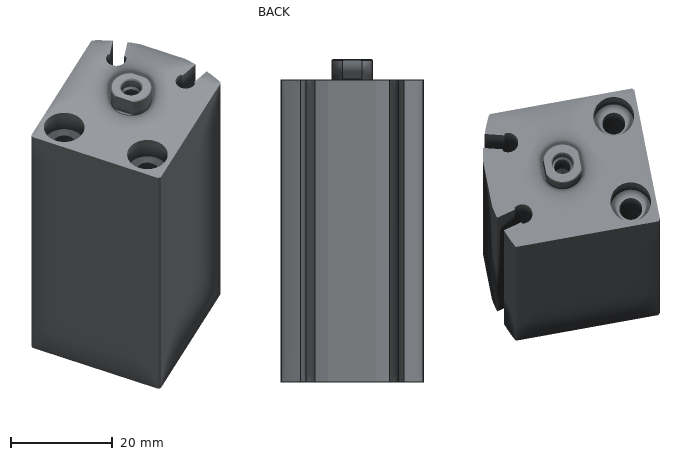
import cadquery as cq
import math


width = 28.0
height = 59.5
front_y = -17.0
back_y = 15.0
shoulder_y = 12.0
crown_flat_width = 9.5
crown_radius = 31.0
front_edge_chamfer = 0.4
shoulder_round = 0.5

slot_angle = 15.0
slot_center_x = 7.52
slot_center_y = 9.45
slot_bulb_diameter = 4.0
slot_neck_width = 2.9
slot_lip_height = 0.85
slot_reach = 8.0

mount_x = 9.0
mount_y = -12.0
mount_diameter = 4.5
counterbore_diameter = 8.0
counterbore_depth = 4.6

rod_diameter = 8.0
rod_protrusion = 4.0
rod_insertion = 10.0
rod_tip_chamfer = 0.2
flat_distance = 7.0
flat_start = 0.2
rod_top = height + rod_protrusion
rod_bottom = height - rod_insertion

mouth_diameter = 4.6
bore_diameter = 4.13
bore_depth = 2.0
core_diameter = 3.24
core_depth = 8.0
drill_point_angle = 118.0


def crown_arc_middle(start, end, radius):
    """Midpoint of the outward-bulging arc of the given radius from start to end."""
    dx = end[0] - start[0]
    dy = end[1] - start[1]
    chord = math.hypot(dx, dy)
    sagitta = radius - math.sqrt(radius**2 - (chord / 2) ** 2)
    middle_x = (start[0] + end[0]) / 2 - dy / chord * sagitta
    middle_y = (start[1] + end[1]) / 2 + dx / chord * sagitta
    return (middle_x, middle_y)


def make_block():
    side = width / 2
    crown_start = (crown_flat_width / 2, back_y)
    crown_end = (side, shoulder_y)
    arc_x, arc_y = crown_arc_middle(crown_start, crown_end, crown_radius)
    block = (
        cq.Workplane("XY")
        .moveTo(-side, front_y)
        .lineTo(side, front_y)
        .lineTo(*crown_end)
        .threePointArc((arc_x, arc_y), crown_start)
        .lineTo(-crown_start[0], back_y)
        .threePointArc((-arc_x, arc_y), (-side, shoulder_y))
        .close()
        .extrude(height)
    )
    block = block.edges("|Z and <Y").chamfer(front_edge_chamfer)
    shoulder_edges = cq.selectors.BoxSelector(
        (-width, shoulder_y - shoulder_round, 0),
        (width, shoulder_y + shoulder_round, height),
    )
    return block.edges("|Z").edges(shoulder_edges).fillet(shoulder_round)


def make_slot(side):
    """Cutter for one sensor slot; side is +1 for the +X slot and -1 for the -X slot."""
    radius = slot_bulb_diameter / 2
    neck = slot_neck_width / 2
    lip = math.sqrt(radius**2 - slot_lip_height**2)
    cutter = (
        cq.Workplane("XY")
        .moveTo(-lip, slot_lip_height)
        .threePointArc((0, -radius), (lip, slot_lip_height))
        .lineTo(neck, slot_lip_height)
        .lineTo(neck, slot_reach)
        .lineTo(-neck, slot_reach)
        .lineTo(-neck, slot_lip_height)
        .close()
        .extrude(height)
    )
    cutter = cutter.rotate((0, 0, 0), (0, 0, 1), -side * slot_angle)
    return cutter.translate((side * slot_center_x, slot_center_y, 0))


def make_housing():
    housing = make_block()
    for side in (-1, 1):
        housing = housing.cut(make_slot(side))
    housing = (
        housing.faces(">Z")
        .workplane(origin=(0, 0, height))
        .pushPoints([(-mount_x, mount_y), (mount_x, mount_y)])
        .cboreHole(mount_diameter, counterbore_diameter, counterbore_depth)
    )
    rod_bore = cq.Workplane("XY", origin=(0, 0, rod_bottom)).circle(rod_diameter / 2).extrude(rod_insertion)
    return housing.cut(rod_bore)


def make_rod_hole():
    """Cutter for the stepped hole, as a half profile turned about Z."""
    mouth_radius = mouth_diameter / 2
    bore_radius = bore_diameter / 2
    core_radius = core_diameter / 2
    mouth_chamfer = mouth_radius - bore_radius
    bore_floor = rod_top - bore_depth
    core_floor = rod_top - core_depth
    point_slope = 1 / math.tan(math.radians(drill_point_angle / 2))
    bore_step = (bore_radius - core_radius) * point_slope
    point_height = core_radius * point_slope
    profile = [
        (0, rod_top),
        (mouth_radius, rod_top),
        (bore_radius, rod_top - mouth_chamfer),
        (bore_radius, bore_floor),
        (core_radius, bore_floor - bore_step),
        (core_radius, core_floor),
        (0, core_floor - point_height),
    ]
    return cq.Workplane("XZ").polyline(profile).close().revolve(360, (0, 0, 0), (0, 1, 0))


def make_rod():
    rod = (
        cq.Workplane("XY", origin=(0, 0, rod_bottom))
        .circle(rod_diameter / 2)
        .extrude(rod_insertion + rod_protrusion)
        .faces(">Z")
        .chamfer(rod_tip_chamfer)
    )
    flat_length = rod_protrusion - flat_start
    flats = (
        cq.Workplane("XY", origin=(0, 0, height + flat_start))
        .rect(2 * rod_diameter, 2 * rod_diameter)
        .rect(2 * rod_diameter, flat_distance)
        .extrude(flat_length)
    )
    return rod.cut(flats).cut(make_rod_hole())


housing = make_housing()
rod = make_rod()

result = cq.Compound.makeCompound([housing.val(), rod.val()])